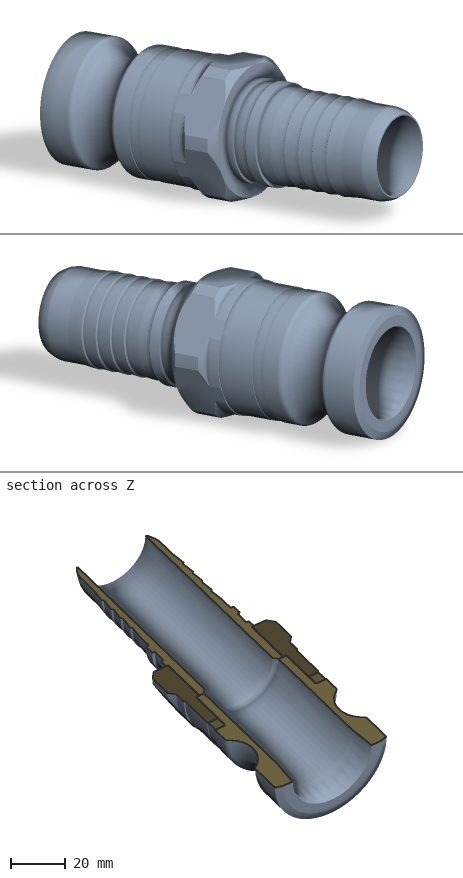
import cadquery as cq
import math

total_length = 141.5

body_diameter = 49.5
face_diameter = 43.5
face_bevel_length = 0.8
adapter_length = 39.6
throat_diameter = 38.2
throat_radius = 10.0
throat_x = 23.2
throat_rim_fillet = 2.0
bore_mouth_diameter = 35.0
bore_neck_diameter = 33.0
bore_taper_length = 11.0
spigot_diameter = 40.5

ring_diameter = 49.0
ring_length = 4.7

hex_flats = 50.0
hex_corner_diameter = 54.9
hex_collar_diameter = 50.5
hex_collar_length = 5.0
hex_front_bevel = 2.4
hex_back_bevel = 2.8
hex_start_x = 58.5
hex_end_x = 78.5

tail_bore_diameter = 30.0
tail_inlet_length = 1.4
shank_diameter = 37.0
flange_diameter = 39.0
flange_end_x = 81.6
collar_start_x = 87.2
collar_end_x = 91.4
land_diameter = 36.5
barb_start_x = 97.0
barb_root_diameter = 35.2
barb_pitch = 6.1
barb_count = 5
barb_rise_length = 0.4
nose_start_x = 136.4
nose_diameter = 31.1
nose_mid_x = 139.5
nose_mid_diameter = 33.5

ring_start_x = adapter_length
ring_end_x = ring_start_x + ring_length
joint_x = hex_start_x


def disc(start_x, end_x, diameter):
    """Solid cylinder on the centre line between two X positions."""
    return cq.Workplane("YZ", origin=(start_x, 0, 0)).circle(diameter / 2).extrude(end_x - start_x)


def turned(points):
    """Solid of revolution about X from (x, radius) points; the first and last points lie on the axis."""
    return cq.Workplane("XY").polyline(points).close().revolve(360, (0, 0, 0), (1, 0, 0))


def make_adapter():
    body_radius = body_diameter / 2
    body = turned([
        (0, 0),
        (0, face_diameter / 2),
        (face_bevel_length, body_radius),
        (adapter_length, body_radius),
        (adapter_length, spigot_diameter / 2),
        (joint_x, spigot_diameter / 2),
        (joint_x, 0),
    ])

    throat_centre_radius = throat_diameter / 2 + throat_radius
    throat = (
        cq.Workplane("XY")
        .center(throat_x, throat_centre_radius)
        .circle(throat_radius)
        .revolve(360, (0, -throat_centre_radius, 0), (1, -throat_centre_radius, 0))
    )
    body = body.cut(throat)
    half_opening = math.sqrt(throat_radius**2 - (throat_centre_radius - body_radius) ** 2)
    rim_reach = 0.1
    for rim_x in (throat_x - half_opening, throat_x + half_opening):
        rim = cq.selectors.BoxSelector(
            (rim_x - rim_reach, -total_length, -total_length),
            (rim_x + rim_reach, total_length, total_length),
            boundingbox=True,
        )
        body = body.edges(rim).fillet(throat_rim_fillet)

    bore = turned([
        (0, 0),
        (0, bore_mouth_diameter / 2),
        (bore_taper_length, bore_neck_diameter / 2),
        (joint_x, bore_neck_diameter / 2),
        (joint_x, 0),
    ])
    return body.cut(bore)


def make_spacer_ring():
    return disc(ring_start_x, ring_end_x, ring_diameter).cut(
        disc(ring_start_x, ring_end_x, spigot_diameter)
    )


def make_hex_body():
    collar_end_x = hex_start_x + hex_collar_length
    blank = turned([
        (hex_start_x, 0),
        (hex_start_x, hex_collar_diameter / 2),
        (collar_end_x, hex_collar_diameter / 2),
        (collar_end_x + hex_front_bevel, hex_corner_diameter / 2),
        (hex_end_x - hex_back_bevel, hex_corner_diameter / 2),
        (hex_end_x, hex_flats / 2),
        (hex_end_x, 0),
    ])
    corner_width = hex_flats / math.cos(math.pi / 6)
    prism = (
        cq.Workplane("YZ", origin=(hex_start_x, 0, 0))
        .polygon(6, corner_width)
        .extrude(hex_end_x - hex_start_x)
    )
    sleeve = disc(ring_end_x, hex_start_x, body_diameter)
    return (
        blank.intersect(prism)
        .union(sleeve)
        .cut(disc(ring_end_x, joint_x, spigot_diameter))
        .cut(disc(joint_x, hex_end_x, shank_diameter))
    )


def make_hose_tail():
    outline = (
        cq.Workplane("XY")
        .moveTo(joint_x, 0)
        .lineTo(joint_x, shank_diameter / 2)
        .lineTo(hex_end_x, shank_diameter / 2)
        .lineTo(hex_end_x, flange_diameter / 2)
        .lineTo(flange_end_x, flange_diameter / 2)
        .lineTo(flange_end_x, shank_diameter / 2)
        .lineTo(collar_start_x, shank_diameter / 2)
        .lineTo(collar_start_x, flange_diameter / 2)
        .lineTo(collar_end_x, flange_diameter / 2)
        .lineTo(collar_end_x, land_diameter / 2)
        .lineTo(barb_start_x, land_diameter / 2)
    )
    for barb in range(1, barb_count):
        crest_x = barb_start_x + barb * barb_pitch
        outline = outline.lineTo(crest_x - barb_rise_length, barb_root_diameter / 2)
        outline = outline.lineTo(crest_x, land_diameter / 2)
    body = (
        outline.lineTo(barb_start_x + barb_count * barb_pitch, barb_root_diameter / 2)
        .lineTo(nose_start_x, barb_root_diameter / 2)
        .threePointArc((nose_mid_x, nose_mid_diameter / 2), (total_length, nose_diameter / 2))
        .lineTo(total_length, 0)
        .close()
        .revolve(360, (0, 0, 0), (1, 0, 0))
    )
    bore = turned([
        (joint_x, 0),
        (joint_x, bore_neck_diameter / 2),
        (joint_x + tail_inlet_length, tail_bore_diameter / 2),
        (total_length, tail_bore_diameter / 2),
        (total_length, 0),
    ])
    return body.cut(bore)


adapter = make_adapter()
spacer_ring = make_spacer_ring()
hex_body = make_hex_body()
hose_tail = make_hose_tail()

result = cq.Compound.makeCompound([
    adapter.val(),
    spacer_ring.val(),
    hex_body.val(),
    hose_tail.val(),
])